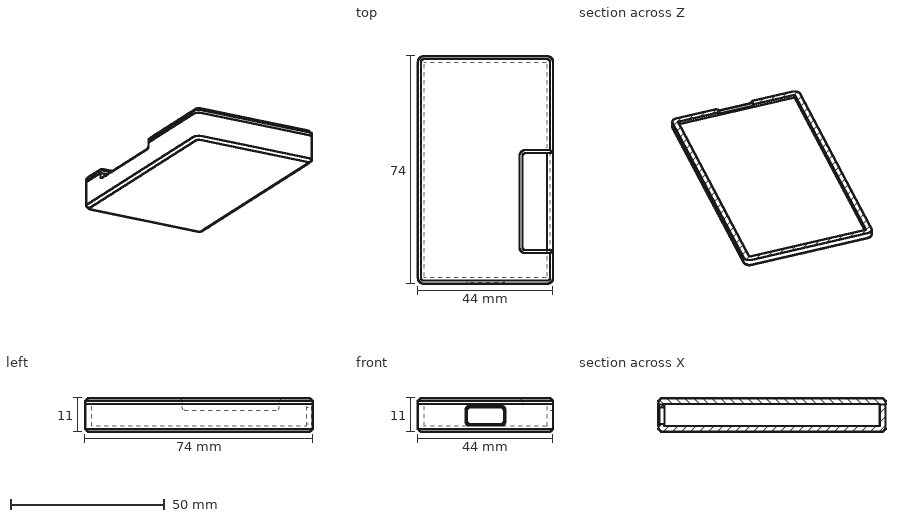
import cadquery as cq

WIDTH = 44.0
LENGTH = 74.0
HEIGHT = 11.0
CORNER_RADIUS = 2.0
EDGE_CHAMFER = CORNER_RADIUS / 2

WALL = 2.0
FLOOR = WALL
LID_THICKNESS = WALL
BASE_HEIGHT = HEIGHT - LID_THICKNESS
RIGHT_FACE_X = WIDTH / 2
PORT_FACE_Y = -LENGTH / 2

WINDOW_DEPTH = 10.0
WINDOW_LENGTH = 31.5
WINDOW_CENTER_Y = -10.3
WINDOW_RADIUS = CORNER_RADIUS / 2
SILL_Z = 7.0

PORT_WIDTH = 12.0
PORT_HEIGHT = 5.5
PORT_CENTER_Z = 5.25
PORT_DIAMETER = 2.0
PORT_RADIUS = PORT_DIAMETER / 2
PORT_CHAMFER = 0.5
CHAMFER_ANGLE = 45


def rounded_block(bottom_z, height):
    """Block with the case outline and rounded vertical edges."""
    return (
        cq.Workplane("XY", origin=(0, 0, bottom_z))
        .rect(WIDTH, LENGTH)
        .extrude(height)
        .edges("|Z")
        .fillet(CORNER_RADIUS)
    )


def cavity_cutter():
    """Inner space of the base, open at the top."""
    return (
        cq.Workplane("XY", origin=(0, 0, FLOOR))
        .rect(WIDTH - 2 * WALL, LENGTH - 2 * WALL)
        .extrude(BASE_HEIGHT - FLOOR)
    )


def port_cutter():
    """Rounded slot through the -Y wall, with a chamfered outer mouth."""
    port_plane = cq.Workplane("XZ", origin=(0, PORT_FACE_Y, PORT_CENTER_Z))
    slot = (
        port_plane.rect(PORT_WIDTH, PORT_HEIGHT)
        .extrude(-WALL)
        .edges("|Y")
        .fillet(PORT_RADIUS)
    )
    mouth = (
        port_plane.sketch()
        .rect(PORT_WIDTH + 2 * PORT_CHAMFER, PORT_HEIGHT + 2 * PORT_CHAMFER)
        .vertices()
        .fillet(PORT_RADIUS + PORT_CHAMFER)
        .finalize()
        .extrude(-PORT_CHAMFER, taper=CHAMFER_ANGLE)
    )
    return slot.union(mouth)


def sill_cutter():
    """Notch that lowers the +X wall, with rounded lower corners."""
    return (
        cq.Workplane("XY", origin=(RIGHT_FACE_X - WALL / 2, WINDOW_CENTER_Y, SILL_Z))
        .rect(WALL, WINDOW_LENGTH)
        .extrude(BASE_HEIGHT - SILL_Z)
        .edges("|X and <Z")
        .fillet(WINDOW_RADIUS)
    )


def window_cutter():
    """Opening through the lid from its +X edge, with rounded inner corners."""
    return (
        cq.Workplane("XY", origin=(RIGHT_FACE_X - WINDOW_DEPTH / 2, WINDOW_CENTER_Y, BASE_HEIGHT))
        .rect(WINDOW_DEPTH, WINDOW_LENGTH)
        .extrude(LID_THICKNESS)
        .edges("|Z and <X")
        .fillet(WINDOW_RADIUS)
    )


def make_base():
    """Open tray with a connector port and a lowered sill in the +X wall."""
    tray = rounded_block(0, BASE_HEIGHT).faces("<Z").chamfer(EDGE_CHAMFER)
    return tray.cut(cavity_cutter()).cut(port_cutter()).cut(sill_cutter())


def make_lid():
    """Flat cover with an open-sided window; every top edge is chamfered."""
    plate = rounded_block(BASE_HEIGHT, LID_THICKNESS).cut(window_cutter())
    return plate.faces(">Z").chamfer(EDGE_CHAMFER)


base = make_base()
lid = make_lid()
result = cq.Compound.makeCompound([base.solids().val(), lid.solids().val()])